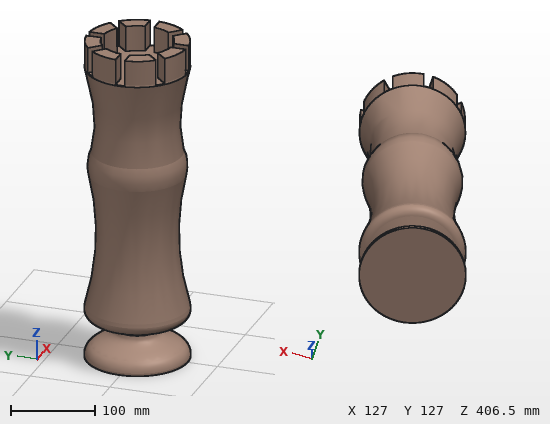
import cadquery as cq

height = 406.5
foot_radius = 63.5
crown_radius = 62.5

foot_rim_z = 3.3
foot_top_z = 15.5
foot_top_radius = 55.3
foot_round_middle = (61.0, 9.8)
stem_points = [(36.5, 24.5), (28.5, 30.5)]
neck_z = 36.0
neck_radius = 26.5
neck_arc_middle = (29.0, 40.5)
flare_start_z = 43.5
flare_start_radius = 35.0
flare_end_z = 49.5
flare_end_radius = 53.5

belly_round_middle = (61.5, 54.5)
belly_bottom_z = 61.8
belly_top_z = 66.5
belly_top_radius = 62.5
lower_waist_z = 148.5
lower_waist_radius = 49.5
bead_bottom_z = 236.0
bead_bottom_radius = 58.5
bead_middle_z = 246.5
bead_radius = 59.7
bead_top_z = 264.0
bead_top_radius = 55.3
upper_waist_z = 292.5
upper_waist_radius = 51.2
upper_flare_z = 333.2
upper_flare_radius = 54.0

crown_base_z = 373.0
crown_floor_z = 374.3
crown_edge_z = 375.5
crown_base_radius = 63.0
cup_radius = 44.0
slot_width = 11.5
slot_count = 8
slot_bar_length = 3 * crown_radius


def make_body():
    """Revolve the half profile about Z; the local points are (radius, height)."""
    profile = (
        cq.Workplane("XZ")
        .lineTo(foot_radius, 0)
        .lineTo(foot_radius, foot_rim_z)
        .threePointArc(foot_round_middle, (foot_top_radius, foot_top_z))
        .spline([*stem_points, (neck_radius, neck_z)], includeCurrent=True)
        .threePointArc(neck_arc_middle, (flare_start_radius, flare_start_z))
        .lineTo(flare_end_radius, flare_end_z)
        .threePointArc(belly_round_middle, (foot_radius, belly_bottom_z))
        .lineTo(belly_top_radius, belly_top_z)
        .threePointArc((lower_waist_radius, lower_waist_z), (bead_bottom_radius, bead_bottom_z))
        .threePointArc((bead_radius, bead_middle_z), (bead_top_radius, bead_top_z))
        .spline(
            [
                (upper_waist_radius, upper_waist_z),
                (upper_flare_radius, upper_flare_z),
                (crown_base_radius, crown_base_z),
            ],
            includeCurrent=True,
        )
        .lineTo(crown_radius, crown_edge_z)
        .lineTo(crown_radius, height)
        .lineTo(0, height)
        .close()
    )
    return profile.revolve(360, (0, 0), (0, 1))


def make_crown_cut():
    """Round cup plus bars across the axis, each bar opening two opposite slots."""
    depth = height - crown_floor_z
    floor = cq.Workplane("XY").workplane(offset=crown_floor_z)
    cut = floor.circle(cup_radius).extrude(depth)
    bar = floor.rect(slot_bar_length, slot_width).extrude(depth)
    for i in range(slot_count // 2):
        angle = i * 360 / slot_count
        cut = cut.union(bar.rotate((0, 0, 0), (0, 0, 1), angle))
    return cut


result = make_body().cut(make_crown_cut())